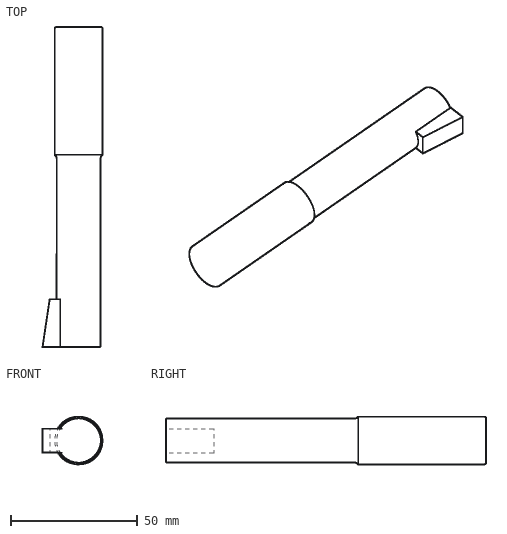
import cadquery as cq
import math

total_length = 127.0
shank_radius = 19.0 / 2
neck_radius = 17.5 / 2
shank_length = 50.8
tip_end_fillet = 0.5
shank_end_fillet = 0.8
shoulder_radius = 1.7

tip_reach = 14.4
tip_length = 19.0
tip_thickness = 9.5
tip_relief_angle = 8.5


def make_bar():
    """Revolve the stepped bar, with a concave shoulder and rounded end edges."""
    shank_start = total_length - shank_length
    step = shank_radius - neck_radius
    shoulder_length = math.sqrt(shoulder_radius**2 - (shoulder_radius - step) ** 2)
    shoulder_start = shank_start - shoulder_length
    half_angle = math.asin(shoulder_length / shoulder_radius) / 2
    shoulder_middle = (
        neck_radius + shoulder_radius * (1 - math.cos(half_angle)),
        shoulder_start + shoulder_radius * math.sin(half_angle),
    )
    return (
        cq.Workplane("XY")
        .lineTo(neck_radius, 0)
        .lineTo(neck_radius, shoulder_start)
        .threePointArc(shoulder_middle, (shank_radius, shank_start))
        .lineTo(shank_radius, total_length)
        .lineTo(0, total_length)
        .close()
        .revolve(360, (0, 0), (0, 1))
        .faces("<Y")
        .edges()
        .fillet(tip_end_fillet)
        .faces(">Y")
        .edges()
        .fillet(shank_end_fillet)
    )


def make_tip():
    """Build the block from the bar axis outward, narrowing toward the shank."""
    relief = tip_length * math.tan(math.radians(tip_relief_angle))
    outline = [
        (0, 0),
        (-tip_reach, 0),
        (-tip_reach + relief, tip_length),
        (0, tip_length),
    ]
    return cq.Workplane("XY").polyline(outline).close().extrude(tip_thickness / 2, both=True)


result = make_bar().union(make_tip())